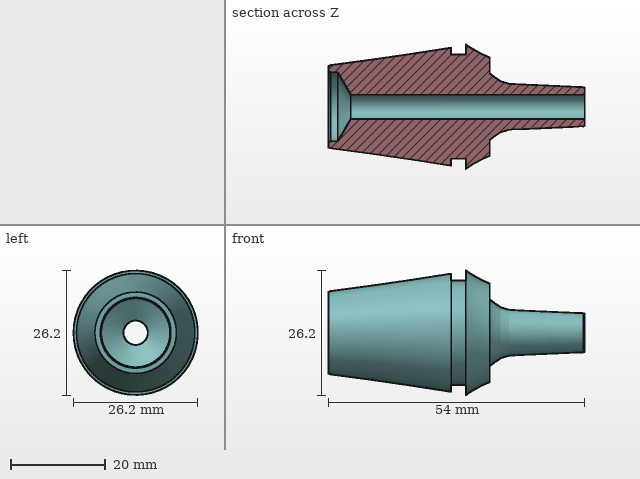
import cadquery as cq
import math

length = 54.0

front_radius = 8.6
body_start_radius = 8.8
body_end_radius = 12.5
body_end_x = 25.85
groove_radius = 11.0
collar_start_x = 28.95
collar_start_radius = 13.1
collar_end_x = 34.0
collar_end_radius = 10.35

neck_radius = 7.0
neck_end_x = 38.05
neck_first_edge = (35.0, 6.25)
neck_second_edge = (36.3, 5.4)
stem_start_radius = 4.85
stem_end_radius = 4.15
tip_chamfer_length = 0.3
tip_chamfer_height = 0.15

edge_chamfer_length = 0.5
bore_radius = 7.25
mouth_radius = 7.45
bore_depth = 2.0
hole_radius = 2.55
floor_half_angle = math.radians(60)
floor_end_x = bore_depth + (bore_radius - hole_radius) / math.tan(floor_half_angle)

body_sagitta = 0.1
collar_sagitta = 0.15


def curve_middle(start, end, sagitta):
    """Return the arc midpoint, offset from the chord towards the axis."""
    dx = end[0] - start[0]
    dr = end[1] - start[1]
    chord = math.hypot(dx, dr)
    middle_x = (start[0] + end[0]) / 2 + sagitta * dr / chord
    middle_radius = (start[1] + end[1]) / 2 - sagitta * dx / chord
    return (middle_x, middle_radius)


body_start = (edge_chamfer_length, body_start_radius)
body_end = (body_end_x, body_end_radius)
collar_start = (collar_start_x, collar_start_radius)
collar_end = (collar_end_x, collar_end_radius)
neck_start = (collar_end_x, neck_radius)
neck_end = (neck_end_x, stem_start_radius)

section = (
    cq.Workplane("XY")
    .moveTo(0, mouth_radius)
    .lineTo(0, front_radius)
    .lineTo(*body_start)
    .threePointArc(curve_middle(body_start, body_end, body_sagitta), body_end)
    .lineTo(body_end_x, groove_radius)
    .lineTo(collar_start_x, groove_radius)
    .lineTo(*collar_start)
    .threePointArc(curve_middle(collar_start, collar_end, collar_sagitta), collar_end)
    .lineTo(*neck_start)
    .lineTo(*neck_first_edge)
    .lineTo(*neck_second_edge)
    .lineTo(*neck_end)
    .lineTo(length - tip_chamfer_length, stem_end_radius)
    .lineTo(length, stem_end_radius - tip_chamfer_height)
    .lineTo(length, hole_radius)
    .lineTo(floor_end_x, hole_radius)
    .lineTo(bore_depth, bore_radius)
    .lineTo(edge_chamfer_length, bore_radius)
    .close()
)

result = section.revolve(360, (0, 0, 0), (1, 0, 0))